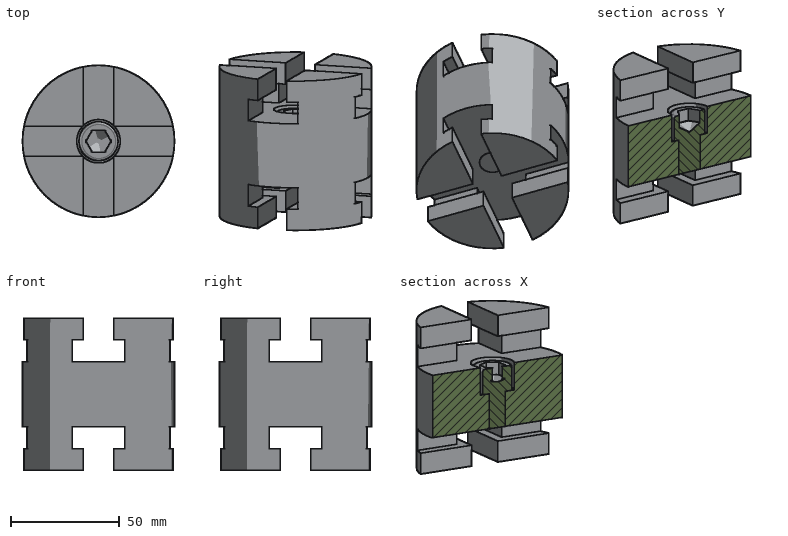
import cadquery as cq
import math

BLOCK_DIAMETER = 70.0
BLOCK_HEIGHT = 70.0
LIP_THICKNESS = 10.0
SLOT_DEPTH = 2 * LIP_THICKNESS
NECK_WIDTH = 14.0
UNDERCUT_WIDTH = 23.95
LOWER_FLOOR_Z = SLOT_DEPTH
UPPER_FLOOR_Z = BLOCK_HEIGHT - SLOT_DEPTH

HEAD_DIAMETER = 18.0
HEAD_HEIGHT = 12.0
HEAD_FILLET = 1.2
SHANK_DIAMETER = 12.0
SOCKET_ACROSS_FLATS = 10.0
SOCKET_CORNER_RADIUS = SOCKET_ACROSS_FLATS / math.sqrt(3)
SOCKET_DEPTH = 6.0
SOCKET_POINT_ANGLE = 120.0

COUNTERBORE_DIAMETER = 20.0
COUNTERBORE_DEPTH = 13.0
HEAD_SEAT_Z = UPPER_FLOOR_Z - COUNTERBORE_DEPTH
HEAD_TOP_Z = HEAD_SEAT_Z + HEAD_HEIGHT


def cylinder(diameter, bottom_z, top_z):
    """Upright cylinder on the Z axis."""
    return cq.Workplane("XY").workplane(offset=bottom_z).circle(diameter / 2).extrude(top_z - bottom_z)


def slot_bar(width, bottom_z, top_z):
    """Bar along X that cuts right across the block."""
    return cq.Workplane("XY").box(
        2 * BLOCK_DIAMETER, width, top_z - bottom_z, centered=(True, True, False)
    ).translate((0, 0, bottom_z))


def upper_t_slot(direction):
    """T-slot open at the top face, turned by direction degrees about Z."""
    undercut = slot_bar(UNDERCUT_WIDTH, UPPER_FLOOR_Z, BLOCK_HEIGHT - LIP_THICKNESS)
    neck = slot_bar(NECK_WIDTH, UPPER_FLOOR_Z, BLOCK_HEIGHT)
    return undercut.union(neck).rotate((0, 0, 0), (0, 0, 1), direction)


def lower_t_slot(direction):
    """T-slot open at the bottom face, the mirror image of the upper one."""
    return upper_t_slot(direction).mirror("XY", (0, 0, BLOCK_HEIGHT / 2))


def make_block():
    block = cylinder(BLOCK_DIAMETER, 0, BLOCK_HEIGHT)
    for direction in (0, 90):
        block = block.cut(upper_t_slot(direction))
        block = block.cut(lower_t_slot(direction))
    block = block.cut(cylinder(COUNTERBORE_DIAMETER, HEAD_SEAT_Z, BLOCK_HEIGHT))
    return block.cut(cylinder(SHANK_DIAMETER, LOWER_FLOOR_Z, HEAD_SEAT_Z))


def hex_socket():
    """Hexagonal recess, corners on the X axis, that ends in a conical drill point."""
    socket_floor_z = HEAD_TOP_Z - SOCKET_DEPTH
    point_depth = SOCKET_CORNER_RADIUS / math.tan(math.radians(SOCKET_POINT_ANGLE / 2))
    hexagon = (
        cq.Workplane("XY")
        .workplane(offset=socket_floor_z)
        .polygon(6, 2 * SOCKET_CORNER_RADIUS)
        .extrude(SOCKET_DEPTH)
    )
    drill_point = cq.Workplane(
        cq.Solid.makeCone(
            SOCKET_CORNER_RADIUS, 0, point_depth, cq.Vector(0, 0, socket_floor_z), cq.Vector(0, 0, -1)
        )
    )
    return hexagon.union(drill_point)


def make_screw():
    head = cylinder(HEAD_DIAMETER, HEAD_SEAT_Z, HEAD_TOP_Z).faces(">Z").edges().fillet(HEAD_FILLET)
    shank = cylinder(SHANK_DIAMETER, LOWER_FLOOR_Z, HEAD_SEAT_Z)
    return head.union(shank).cut(hex_socket())


block = make_block()
screw = make_screw()

result = cq.Compound.makeCompound([block.val(), screw.val()])